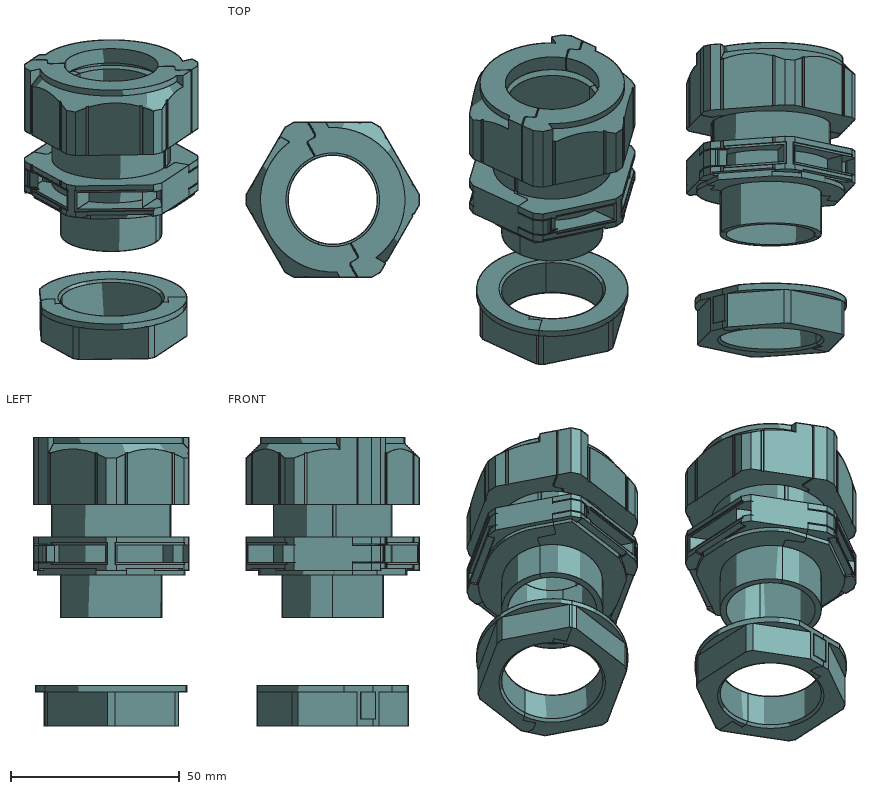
import cadquery as cq
import math

LOCKNUT_HEX_TOP = 10.2
LOCKNUT_TOP = 12.1
TUBE_BOTTOM = 32.15
GASKET_BOTTOM = 44.7
FLANGE_BOTTOM = 46.1
GASKET_TOP = 46.7
FLANGE_TOP = 56.0
CAP_BOTTOM = 65.6
SEAL_TOP = 79.4
CAP_PLATE_BOTTOM = 81.0
CAP_SHOULDER = 83.6
CAP_TOP = 85.5

BORE_RADIUS = 13.2
CAP_OPENING_RADIUS = 13.85
TUBE_RADIUS = 15.0
SEAL_RADIUS = 16.25
NECK_RADIUS = 17.6
CAP_RING_RADIUS = 21.4

HEX_ACROSS_FLATS = 45.9
HEX_FLAT = HEX_ACROSS_FLATS / 2
HEX_CORNER = 25.65
LOCKNUT_FLAT = 19.9
LOCKNUT_CORNER = 22.4

GROOVE_OFFSET = 8.0
GROOVE_WIDTH = 0.8
GROOVE_DEPTH = 0.25

CAP_SEAM_ANGLE = 120
CAP_SEAM_INNER = -1.9
CAP_SEAM_OUTER = -5.1
CAP_SEAM_STEP = 18.7
CAP_SEAM_CROSSING = 0.85
CAP_SEAM_GAP = 0.3
SEAM_FACES = (90, 270)
BLOCK_FACE_ANGLE = 150
BLOCK_EDGE = GROOVE_OFFSET + GROOVE_WIDTH / 2
BLOCK_SEAM_OFFSET = -9.7
BLOCK_OVERRUN = 4.3

BODY_SEAM_ANGLE = 90
BODY_SEAM_OUTER = 5.8
BODY_SEAM_STEP = 18.2
SEAM_ROUNDING = 0.8
NECK_REBATE_WIDTH = 1.0
NECK_REBATE_DEPTH = 0.4

POCKET_BOTTOM = 48.5
POCKET_TOP = 53.7
RIM_STEP = 0.7
RIM_DEPTH = 0.4
RIM_START = 7.3
RIM_END = 11.8
WEB_HALF_WIDTH = 1.7
STEP_X = 8.55
STEP_INNER_Y = 13.7
STEP_OUTER_Y = 18.5
LATCH_POCKET_X = 15.5
LATCH_POCKET_Y = 19.15
FIN_POCKET_DEPTH_X = 6.8
FIN_POCKET_END_Y = 21.2
MOUTH_X = 11.55
FIN_Y = 18.2
FIN_TIP_X = 14.8
FIN_ROOT_X = 8.1
FIN_ROOT_Y = 15.0
FIN_HEEL_X = 5.1

TONGUE_BOTTOM = 48.7
TONGUE_TOP = 53.5
TONGUE_CLEARANCE = 0.3
TONGUE_THICKNESS = 1.7
TONGUE_END = 14.9

GASKET_FLAT = 20.9
GASKET_END_RADIUS = 22.0
GASKET_SHORT_FLAT = 2.65
GASKET_LONG_FLAT = 9.8
GASKET_CORNER_FLAT = 13.2
GASKET_CREST_X = 0.3
GASKET_CREST_Y = 21.9
GASKET_BULGE_X = 10.3
GASKET_BULGE_Y = 19.15
RECESS_START = -8.1
RECESS_END = 11.1

SEAL_SEAM_ANGLE = 72

LATCH_ANGLE = -60
LATCH_FLAT = 20.9
LATCH_WIDTH = 5.0
LATCH_BOTTOM = 2.1
LATCH_THICKNESS = 1.3
LATCH_RAISE = 0.2
LOCKNUT_SEAM_INNER = 4.3
LOCKNUT_SEAM_OUTER = 0.3
LOCKNUT_SEAM_END = 1.6
LOCKNUT_SEAM_STEP = 16.8
LOCKNUT_SEAM_BEND = 19.15
LOCKNUT_CHAMFER = 0.8

REACH = 51.3
HALF_TURN = 180
SIDES = (1, -1)

FRONT_LEFT = 210
FRONT_RIGHT = -30
REAR_RIGHT = 30
REAR_LEFT = 150
SIDE_SPACING = 60


def polar_frame(angle, along, across):
    """Point at a distance along the direction `angle` and across it, to its left."""
    turn = math.radians(angle)
    x = along * math.cos(turn) - across * math.sin(turn)
    y = along * math.sin(turn) + across * math.cos(turn)
    return (x, y)


def prism(points, bottom, top):
    return cq.Workplane("XY").workplane(offset=bottom).polyline(points).close().extrude(top - bottom)


def cylinder(radius, bottom, top):
    return cq.Workplane("XY").workplane(offset=bottom).circle(radius).extrude(top - bottom)


def half_turned(shape):
    return shape.rotate((0, 0, 0), (0, 0, 1), HALF_TURN)


def face_block(angle, near, far, start, end, bottom, top):
    """Block standing on the direction `angle`, between two distances and two side offsets."""
    corners = ((near, start), (far, start), (far, end), (near, end))
    return prism([polar_frame(angle, *corner) for corner in corners], bottom, top)


def hexagon(flat, corner, bottom, top):
    """Hexagon with flats toward +Y and -Y and its corners cut off."""
    flats = cq.Workplane("XY").workplane(offset=bottom).polygon(6, flat * 2, circumscribed=True)
    flats = flats.extrude(top - bottom).rotate((0, 0, 0), (0, 0, 1), SIDE_SPACING / 2)
    corners = cq.Workplane("XY").workplane(offset=bottom).polygon(6, corner * 2, circumscribed=True)
    corners = corners.extrude(top - bottom)
    return flats.intersect(corners)


def point_symmetric_seam(end_points):
    """Whole seam from one end, listed from the outside inward, and its half-turned copy."""
    return end_points + [(-along, -across) for along, across in reversed(end_points)]


def half_space(seam, angle, side, gap=0.0, rounding=0.0):
    """Everything on one side of a vertical seam; seam points are (along, across) its direction."""
    edge = [(along, across + side * gap / 2) for along, across in seam]
    space = prism(edge + [(-REACH, side * REACH), (REACH, side * REACH)], 0, CAP_TOP)
    if rounding:
        for end in SIDES:
            near_end = cq.selectors.BoxSelector(
                (end * NECK_RADIUS, -NECK_RADIUS, 0), (end * HEX_FLAT, NECK_RADIUS, CAP_TOP)
            )
            space = space.edges("|Z").edges(near_end).fillet(rounding)
    return space.rotate((0, 0, 0), (0, 0, 1), angle)


def grip_groove(angle, offset):
    start = offset - GROOVE_WIDTH / 2
    return face_block(angle, HEX_FLAT - GROOVE_DEPTH, REACH, start, start + GROOVE_WIDTH, 0, CAP_TOP)


def cap_block():
    """Wedge beside the seam where the hexagon keeps its full height."""
    face_inner = math.sqrt(CAP_RING_RADIUS**2 - BLOCK_EDGE**2)
    seam_inner = math.sqrt(CAP_RING_RADIUS**2 - BLOCK_SEAM_OFFSET**2)
    outside = HEX_CORNER + BLOCK_OVERRUN
    return prism(
        [
            polar_frame(BLOCK_FACE_ANGLE, face_inner, -BLOCK_EDGE),
            polar_frame(BLOCK_FACE_ANGLE, outside, -BLOCK_EDGE),
            polar_frame(CAP_SEAM_ANGLE, outside, BLOCK_SEAM_OFFSET),
            polar_frame(CAP_SEAM_ANGLE, seam_inner, BLOCK_SEAM_OFFSET),
        ],
        CAP_BOTTOM,
        CAP_TOP,
    )


def cap_shoulder():
    """Material outside the top ring and above the 45 degree cone, except at the two blocks."""
    drop = REACH - CAP_RING_RADIUS
    profile = [
        (CAP_RING_RADIUS, CAP_TOP),
        (CAP_RING_RADIUS, CAP_SHOULDER),
        (REACH, CAP_SHOULDER - drop),
        (REACH, CAP_TOP),
    ]
    ring = cq.Workplane("XZ").polyline(profile).close().revolve(360, (0, 0, 0), (0, 1, 0))
    block = cap_block()
    return ring.cut(block).cut(half_turned(block))


def whole_cap():
    cap = hexagon(HEX_FLAT, HEX_CORNER, CAP_BOTTOM, CAP_TOP)
    cap = cap.cut(cap_shoulder())
    cap = cap.cut(cylinder(CAP_OPENING_RADIUS, CAP_BOTTOM, CAP_TOP))
    cap = cap.cut(cylinder(NECK_RADIUS, CAP_BOTTOM, CAP_PLATE_BOTTOM))
    for angle in range(REAR_RIGHT, REAR_RIGHT + 360, SIDE_SPACING):
        cap = cap.cut(grip_groove(angle, -GROOVE_OFFSET))
        if angle not in SEAM_FACES:
            cap = cap.cut(grip_groove(angle, GROOVE_OFFSET))
    return cap


def cap_half(side):
    seam = point_symmetric_seam(
        [
            (REACH, CAP_SEAM_OUTER),
            (CAP_SEAM_STEP, CAP_SEAM_OUTER),
            (CAP_SEAM_STEP, CAP_SEAM_INNER),
            (CAP_SEAM_CROSSING, CAP_SEAM_INNER),
        ]
    )
    return whole_cap().intersect(half_space(seam, CAP_SEAM_ANGLE, side, CAP_SEAM_GAP, SEAM_ROUNDING))


def seal_half(side):
    sleeve = cylinder(SEAL_RADIUS, FLANGE_TOP, SEAL_TOP)
    sleeve = sleeve.cut(cylinder(BORE_RADIUS, FLANGE_TOP, SEAL_TOP))
    return sleeve.intersect(half_space([(REACH, 0), (-REACH, 0)], SEAL_SEAM_ANGLE, side))


def whole_gasket():
    end_offset = math.sqrt(GASKET_END_RADIUS**2 - GASKET_FLAT**2)
    end_x, end_y = polar_frame(FRONT_RIGHT, GASKET_FLAT, end_offset)
    outline = (
        cq.Workplane("XY", origin=(0, 0, GASKET_BOTTOM))
        .moveTo(-end_x, end_y)
        .lineTo(*polar_frame(FRONT_LEFT, GASKET_FLAT, GASKET_SHORT_FLAT))
        .threePointArc((-GASKET_BULGE_X, -GASKET_BULGE_Y), (GASKET_CREST_X, -GASKET_CREST_Y))
        .lineTo(*polar_frame(FRONT_RIGHT, GASKET_FLAT, -GASKET_LONG_FLAT))
        .lineTo(end_x, end_y)
        .threePointArc((GASKET_END_RADIUS, 0), (end_x, -end_y))
        .lineTo(*polar_frame(REAR_RIGHT, GASKET_FLAT, GASKET_SHORT_FLAT))
        .threePointArc((GASKET_BULGE_X, GASKET_BULGE_Y), (-GASKET_CREST_X, GASKET_CREST_Y))
        .lineTo(*polar_frame(REAR_LEFT, GASKET_FLAT, -GASKET_CORNER_FLAT))
        .lineTo(-end_x, -end_y)
        .threePointArc((-GASKET_END_RADIUS, 0), (-end_x, end_y))
        .close()
    )
    return outline.extrude(GASKET_TOP - GASKET_BOTTOM).cut(cylinder(TUBE_RADIUS, GASKET_BOTTOM, GASKET_TOP))


def body_space(side):
    """Half space on one side of the stepped seam through body and gasket."""
    seam = point_symmetric_seam(
        [(REACH, BODY_SEAM_OUTER), (BODY_SEAM_STEP, BODY_SEAM_OUTER), (BODY_SEAM_STEP, 0)]
    )
    return half_space(seam, BODY_SEAM_ANGLE, side, 0, SEAM_ROUNDING)


def gasket_half(side):
    return whole_gasket().intersect(body_space(side))


def finned_pocket():
    """Pocket of the -X-Y side of the flange, with a thin fin near the front corner."""
    outline = [
        (-REACH, -WEB_HALF_WIDTH),
        (0, -WEB_HALF_WIDTH),
        (-FIN_POCKET_DEPTH_X, -FIN_POCKET_END_Y),
        (-STEP_X, -FIN_POCKET_END_Y),
        (-MOUTH_X, -HEX_FLAT),
        (-MOUTH_X, -REACH),
        (-REACH, -REACH),
    ]
    fin_outline = [(-FIN_TIP_X, -FIN_Y), (-FIN_ROOT_X, -FIN_ROOT_Y), (-FIN_HEEL_X, -FIN_Y)]
    fin = prism(fin_outline, POCKET_BOTTOM, POCKET_TOP)
    return prism(outline, POCKET_BOTTOM, POCKET_TOP).cut(fin)


def latch_pocket():
    """Pocket of the +X-Y side of the flange, with a step behind the end of the latch tongue."""
    outline = [
        (REACH, -WEB_HALF_WIDTH),
        (0, -WEB_HALF_WIDTH),
        (STEP_X, -STEP_INNER_Y),
        (STEP_X, -STEP_OUTER_Y),
        (LATCH_POCKET_X, -LATCH_POCKET_Y),
        (LATCH_POCKET_X, -REACH),
        (REACH, -REACH),
    ]
    return prism(outline, POCKET_BOTTOM, POCKET_TOP)


def pocket_rim(angle, start, end):
    """Shallow step around the mouth of a pocket."""
    return face_block(
        angle, HEX_FLAT - RIM_DEPTH, REACH, start, end, POCKET_BOTTOM - RIM_STEP, POCKET_TOP + RIM_STEP
    )


def gasket_recess(angle, start, end):
    """Notch in the lower edge of a flange side that bares the flat of the gasket."""
    return face_block(angle, GASKET_FLAT, REACH, start, end, FLANGE_BOTTOM, GASKET_TOP)


def latch_tongue(start, end, clearance):
    """Strip around the front right corner of the flange, as wide as the latch plus a clearance."""
    bottom = TONGUE_BOTTOM - clearance
    top = TONGUE_TOP + clearance
    ring = hexagon(HEX_FLAT, HEX_CORNER, bottom, top)
    ring = ring.cut(hexagon(HEX_FLAT - TONGUE_THICKNESS, HEX_CORNER - TONGUE_THICKNESS, bottom, top))
    return ring.intersect(prism([(start, 0), (end, 0), (end, -REACH), (start, -REACH)], bottom, top))


def whole_body():
    flange = hexagon(HEX_FLAT, HEX_CORNER, FLANGE_BOTTOM, FLANGE_TOP)
    pockets = finned_pocket().union(latch_pocket())
    pockets = pockets.cut(cylinder(NECK_RADIUS, FLANGE_BOTTOM, FLANGE_TOP))
    pockets = pockets.union(pocket_rim(FRONT_LEFT, -RIM_END, RIM_END))
    pockets = pockets.union(pocket_rim(FRONT_RIGHT, -RIM_START, RIM_END))
    recess = gasket_recess(FRONT_LEFT, RECESS_START, RECESS_END)
    recess = recess.union(gasket_recess(FRONT_RIGHT, -RECESS_END, -RECESS_START))
    for cutter in (pockets, recess):
        flange = flange.cut(cutter).cut(half_turned(cutter))
    for offset in (-GROOVE_OFFSET, GROOVE_OFFSET):
        flange = flange.cut(grip_groove(FRONT_RIGHT, offset))

    body = flange.union(cylinder(NECK_RADIUS, FLANGE_TOP, CAP_PLATE_BOTTOM))
    body = body.union(cylinder(TUBE_RADIUS, TUBE_BOTTOM, FLANGE_BOTTOM))
    body = body.cut(cylinder(BORE_RADIUS, TUBE_BOTTOM, CAP_PLATE_BOTTOM))
    body = body.cut(cylinder(SEAL_RADIUS, FLANGE_TOP, CAP_PLATE_BOTTOM))
    return body.cut(whole_gasket())


def body_half(side):
    """Side 1 is the -X half: its tongue crosses the front seam, the other half's the rear seam."""
    rebate_floor = NECK_RADIUS - NECK_REBATE_DEPTH
    rebate = face_block(
        BODY_SEAM_ANGLE, rebate_floor, REACH, 0, NECK_REBATE_WIDTH, FLANGE_TOP, CAP_PLATE_BOTTOM
    )
    notch = latch_tongue(BODY_SEAM_OUTER, TONGUE_END + TONGUE_CLEARANCE, TONGUE_CLEARANCE)
    notch = half_turned(notch)
    tongue = latch_tongue(BODY_SEAM_OUTER - TONGUE_THICKNESS, TONGUE_END, 0)
    if side == -1:
        rebate, notch, tongue = half_turned(rebate), half_turned(notch), half_turned(tongue)
    return whole_body().intersect(body_space(side)).cut(rebate).cut(notch).union(tongue)


def whole_locknut():
    nut = hexagon(LOCKNUT_FLAT, LOCKNUT_CORNER, 0, LOCKNUT_HEX_TOP)
    nut = nut.union(cylinder(LOCKNUT_CORNER, LOCKNUT_HEX_TOP, LOCKNUT_TOP))
    nut = nut.cut(face_block(LATCH_ANGLE, LATCH_FLAT, REACH, -REACH, REACH, 0, LOCKNUT_TOP))
    nut = nut.cut(cylinder(TUBE_RADIUS, 0, LOCKNUT_TOP))
    bore_edges = cq.selectors.RadiusNthSelector(0)
    return nut.edges("%CIRCLE").edges(bore_edges).chamfer(LOCKNUT_CHAMFER)


def locknut_half(side):
    """Side -1 carries the latch plate, side 1 the notch for it."""
    seam = [
        (REACH, LOCKNUT_SEAM_END),
        (LATCH_FLAT, LOCKNUT_SEAM_END),
        (LOCKNUT_SEAM_BEND, LOCKNUT_SEAM_OUTER),
        (LOCKNUT_SEAM_STEP, LOCKNUT_SEAM_OUTER),
        (LOCKNUT_SEAM_STEP, LOCKNUT_SEAM_INNER),
        (-LOCKNUT_SEAM_STEP, LOCKNUT_SEAM_INNER),
        (-LOCKNUT_SEAM_STEP, LOCKNUT_SEAM_OUTER),
        (-REACH, LOCKNUT_SEAM_OUTER),
    ]
    half = whole_locknut().intersect(half_space(seam, LATCH_ANGLE, side))
    plate = face_block(
        LATCH_ANGLE,
        LATCH_FLAT - LATCH_THICKNESS,
        LATCH_FLAT + LATCH_RAISE,
        -LATCH_WIDTH / 2,
        LATCH_WIDTH / 2,
        LATCH_BOTTOM,
        LOCKNUT_HEX_TOP,
    )
    return half.union(plate) if side == -1 else half.cut(plate)


bodies = []
for half_side in SIDES:
    for build_half in (cap_half, seal_half, body_half, gasket_half, locknut_half):
        bodies.append(build_half(half_side).solids().val())

result = cq.Compound.makeCompound(bodies)